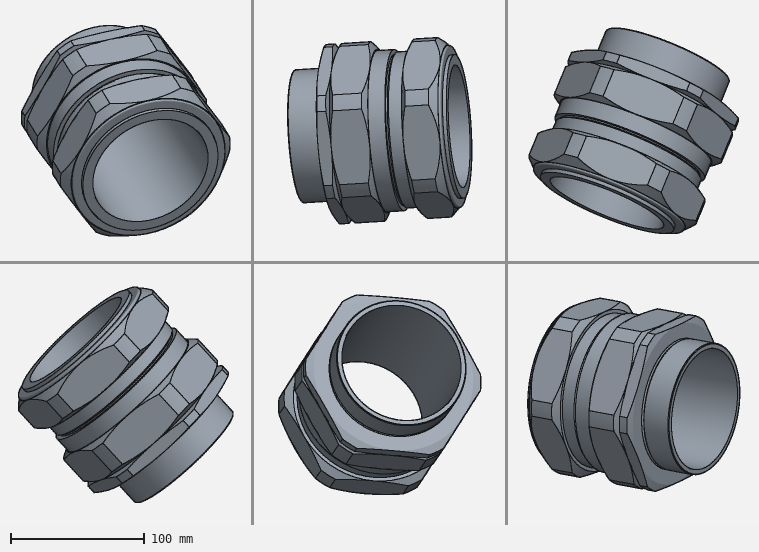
import cadquery as cq
import math

total_length = 121.6
across_flats = 123.0
flat_radius = across_flats / 2
corner_radius = 1.1 * flat_radius
bore_radius = 46.0

spigot_radius = 50.0
spigot_end = 21.0
spigot_chamfer = 0.6
spigot_rounding = 2.0
neck_position = spigot_end + spigot_rounding
neck_radius = spigot_radius - spigot_rounding

hexagon_sides = 6
lock_nut_start = 24.0
body_nut_start = 34.0
body_nut_end = 63.2
cap_nut_start = 88.8
cap_nut_end = 116.6
lock_nut_bevel = 1.65
body_nut_bevel = 3.6
cap_nut_front_bevel = 3.8
cap_nut_rear_bevel = 6.2

body_ring_end = 76.0
body_ring_radius = 60.6
groove_radius = 56.8
groove_end = 77.2
gland_ring_start = 78.5
gland_ring_radius = 58.7
shoulder_radius = 61.0
shoulder_end = 118.7
shoulder_rounding = 1.1
end_ring_radius = 53.9


def nut(start, end, front_bevel, rear_bevel):
    """Hexagon with flats on +Z and -Z, rounded corners and bevelled ends."""
    full_corner_diameter = across_flats / math.cos(math.pi / hexagon_sides)
    prism = (
        cq.Workplane("YZ")
        .workplane(offset=start)
        .polygon(hexagon_sides, full_corner_diameter)
        .extrude(end - start)
    )
    envelope = (
        cq.Workplane("XY")
        .moveTo(start, 0)
        .lineTo(start, flat_radius)
        .lineTo(start + front_bevel, corner_radius)
        .lineTo(end - rear_bevel, corner_radius)
        .lineTo(end, flat_radius)
        .lineTo(end, 0)
        .close()
        .revolve(360, (0, 0), (1, 0))
    )
    return prism.intersect(envelope)


def gland_core():
    """Turned body without its hexagons: spigot, neck, rings, groove and shoulder."""
    arc_offset = math.sqrt(0.5)
    spigot_arc_middle = (
        spigot_end + spigot_rounding * arc_offset,
        neck_radius + spigot_rounding * arc_offset,
    )
    shoulder_arc_start = shoulder_end - shoulder_rounding
    shoulder_arc_middle = (
        shoulder_arc_start + shoulder_rounding * arc_offset,
        shoulder_radius - shoulder_rounding * (1 - arc_offset),
    )
    profile = (
        cq.Workplane("XY")
        .lineTo(0, spigot_radius - spigot_chamfer)
        .lineTo(spigot_chamfer, spigot_radius)
        .lineTo(spigot_end, spigot_radius)
        .threePointArc(spigot_arc_middle, (neck_position, neck_radius))
        .lineTo(lock_nut_start, spigot_radius)
        .lineTo(lock_nut_start, body_ring_radius)
        .lineTo(body_ring_end, body_ring_radius)
        .lineTo(body_ring_end, groove_radius)
        .lineTo(groove_end, groove_radius)
        .lineTo(gland_ring_start, gland_ring_radius)
        .lineTo(cap_nut_end, gland_ring_radius)
        .lineTo(cap_nut_end, shoulder_radius)
        .lineTo(shoulder_arc_start, shoulder_radius)
        .threePointArc(shoulder_arc_middle, (shoulder_end, shoulder_radius - shoulder_rounding))
        .lineTo(shoulder_end, end_ring_radius)
        .lineTo(total_length, end_ring_radius)
        .lineTo(total_length, 0)
        .close()
    )
    return profile.revolve(360, (0, 0), (1, 0))


bore = cq.Workplane("YZ").circle(bore_radius).extrude(total_length)
lock_nut = nut(lock_nut_start, body_nut_start, lock_nut_bevel, lock_nut_bevel)
body_nut = nut(body_nut_start, body_nut_end, body_nut_bevel, body_nut_bevel)
cap_nut = nut(cap_nut_start, cap_nut_end, cap_nut_front_bevel, cap_nut_rear_bevel)

result = gland_core().union(lock_nut).union(body_nut).union(cap_nut).cut(bore)